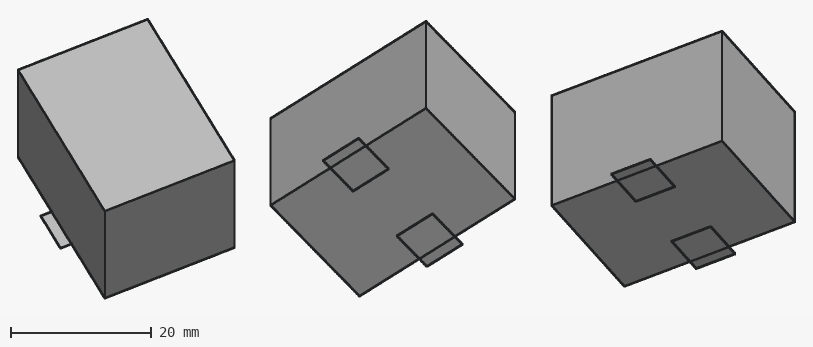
import cadquery as cq

body_length = 28.0
body_width = 20.5
body_height = 20.5
terminal_span = 23.9
terminal_length = 6.9
terminal_width = 6.4
terminal_thickness = 0.1

terminal_center_y = (terminal_span - terminal_length) / 2


def make_body():
    """Plain block resting on top of the terminals."""
    return (
        cq.Workplane("XY")
        .workplane(offset=terminal_thickness)
        .box(body_length, body_width, body_height, centered=(True, True, False))
    )


def make_terminal(side):
    """Flat solder strip under the body; side is -1 or +1 along Y."""
    return (
        cq.Workplane("XY")
        .center(0, side * terminal_center_y)
        .box(terminal_width, terminal_length, terminal_thickness, centered=(True, True, False))
    )


body = make_body()
terminals = [make_terminal(side) for side in (-1, 1)]

result = cq.Compound.makeCompound([body.val(), *[terminal.val() for terminal in terminals]])